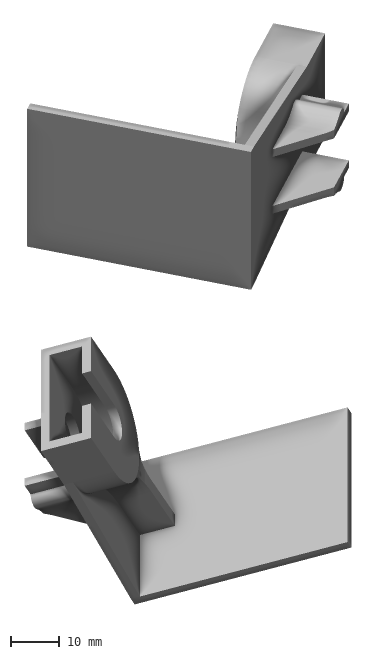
import cadquery as cq
import math

sheet = 2.0
front_width = 48.0
front_height = 35.0
depth = 49.0

lug_height = 9.15
lug_radius = 13.15
lug_center_y = 37.0
bore_diameter = 8.1
slot_width = 8.4
lug_wall = 2.0

rib_height = 7.8
rib_width = 3.0
rib_flare_start_y = 14.2
ramp_radius = 14.95

arm_length = 10.0
arm_start_y = 14.2
arm_end_y = 33.95
arm_inner_z = 6.2
arm_thickness = 2.0
snap_start_y = 22.4
snap_hollow_radius = 10.0
snap_nose_radius = 2.0
snap_angle = math.radians(33)

inner_face_x = -sheet
lug_front_x = inner_face_x - lug_height


def solid_along_x(outline, start_x, length):
    """Extrude a closed outline drawn in (Y, Z) toward +X."""
    return outline(cq.Workplane("YZ", origin=(start_x, 0, 0))).close().extrude(length)


def u_prism(radius, start_x, length):
    """Prism with a round end about the lug axis, running out to the back of the part."""

    def outline(plane):
        return (
            plane.moveTo(depth, -radius)
            .lineTo(lug_center_y, -radius)
            .threePointArc((lug_center_y - radius, 0), (lug_center_y, radius))
            .lineTo(depth, radius)
        )

    return solid_along_x(outline, start_x, length)


def side_plate_outline(plane):
    half_height = front_height / 2
    return plane.polyline([
        (0, -half_height),
        (sheet, -half_height),
        (lug_center_y, -lug_radius),
        (depth, -lug_radius),
        (depth, lug_radius),
        (lug_center_y, lug_radius),
        (sheet, half_height),
        (0, half_height),
    ])


def rib_outline(plane):
    half_width = rib_width / 2
    run = lug_center_y - rib_flare_start_y
    flare_radius = (run**2 + half_width**2 - lug_radius**2) / (2 * (lug_radius - half_width))
    flare_angle = math.asin(run / (lug_radius + flare_radius))

    def flare_point(angle):
        y = rib_flare_start_y + flare_radius * math.sin(angle)
        z = half_width + flare_radius * (1 - math.cos(angle))
        return y, z

    mid_y, mid_z = flare_point(flare_angle / 2)
    end_y, end_z = flare_point(flare_angle)
    return (
        plane.moveTo(0, -half_width)
        .lineTo(rib_flare_start_y, -half_width)
        .threePointArc((mid_y, -mid_z), (end_y, -end_z))
        .lineTo(lug_center_y, -end_z)
        .lineTo(lug_center_y, end_z)
        .lineTo(end_y, end_z)
        .threePointArc((mid_y, mid_z), (rib_flare_start_y, half_width))
        .lineTo(0, half_width)
    )


def rib():
    """Rib whose top flares up to the lug, revolved about the lug axis."""
    blank = solid_along_x(rib_outline, lug_front_x, lug_height)
    rise = lug_height - rib_height
    ramp_run = math.sqrt(ramp_radius**2 - (ramp_radius - rise) ** 2)
    foot_y = lug_center_y - lug_radius - ramp_run
    rib_top_x = inner_face_x - rib_height

    mid_run = ramp_run / 2
    mid_rise = ramp_radius - math.sqrt(ramp_radius**2 - mid_run**2)
    ramp = (
        cq.Workplane("XY")
        .moveTo(inner_face_x, foot_y)
        .lineTo(rib_top_x, foot_y)
        .threePointArc(
            (rib_top_x - mid_rise, foot_y + mid_run),
            (lug_front_x, lug_center_y - lug_radius),
        )
        .lineTo(lug_front_x, lug_center_y)
        .lineTo(inner_face_x, lug_center_y)
        .close()
        .revolve(360, (0, lug_center_y, 0), (1, lug_center_y, 0))
    )
    straight_part = cq.Workplane("XY").box(
        rib_height, lug_center_y, 2 * lug_radius, centered=(False, False, True)
    ).translate((rib_top_x, 0, 0))
    return blank.intersect(ramp.union(straight_part))


def snap_arm_outline(plane):
    outer_z = arm_inner_z + arm_thickness

    def hollow_point(angle):
        y = snap_start_y + snap_hollow_radius * math.sin(angle)
        z = outer_z + snap_hollow_radius * (1 - math.cos(angle))
        return y, z

    nose_start_y, nose_start_z = hollow_point(snap_angle)
    nose_y = nose_start_y + snap_nose_radius * math.sin(snap_angle)
    nose_z = nose_start_z - snap_nose_radius * math.cos(snap_angle)
    nose_end_angle = math.acos((outer_z - nose_z) / snap_nose_radius)

    def nose_point(angle):
        y = nose_y + snap_nose_radius * math.sin(angle)
        z = nose_z + snap_nose_radius * math.cos(angle)
        return y, z

    return (
        plane.moveTo(arm_start_y, arm_inner_z)
        .lineTo(arm_start_y, outer_z)
        .lineTo(snap_start_y, outer_z)
        .threePointArc(hollow_point(snap_angle / 2), (nose_start_y, nose_start_z))
        .threePointArc(nose_point(-snap_angle / 2), nose_point(0))
        .threePointArc(nose_point(nose_end_angle / 2), nose_point(nose_end_angle))
        .lineTo(arm_end_y, outer_z)
        .lineTo(arm_end_y, arm_inner_z)
    )


def snap_arm():
    """Upper arm, with its front end cut back at 45 degrees."""
    arm = solid_along_x(snap_arm_outline, inner_face_x, sheet + arm_length)
    corner = (
        cq.Workplane("XY")
        .polyline([
            (0, arm_start_y),
            (arm_length, arm_start_y),
            (arm_length, arm_start_y + arm_length),
        ])
        .close()
        .extrude(front_height / 2)
    )
    return arm.cut(corner)


front_plate = cq.Workplane("XY").box(
    front_width, sheet, front_height, centered=(False, False, True)
).translate((-front_width, 0, 0))
side_plate = solid_along_x(side_plate_outline, inner_face_x, sheet)
lug = u_prism(lug_radius, lug_front_x, lug_height)

cavity = u_prism(lug_radius - lug_wall, lug_front_x + lug_wall, lug_height - lug_wall)
slot = u_prism(slot_width / 2, lug_front_x, lug_height)
bore = (
    cq.Workplane("YZ", origin=(inner_face_x, lug_center_y, 0))
    .circle(bore_diameter / 2)
    .extrude(sheet)
)

upper_arm = snap_arm()
lower_arm = upper_arm.mirror("XY")

result = (
    front_plate.union(side_plate)
    .union(lug)
    .union(rib())
    .cut(cavity)
    .cut(slot)
    .cut(bore)
    .union(upper_arm)
    .union(lower_arm)
)